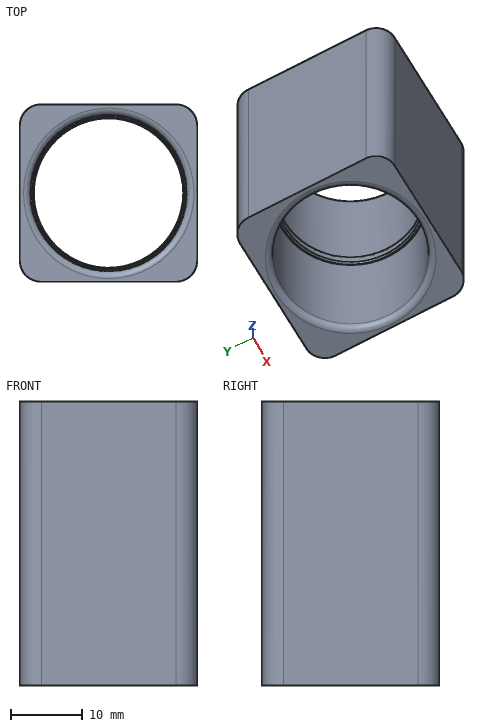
import cadquery as cq

height = 40.0
side = 25.0
corner_radius = 3.0
bore_diameter = 22.0
mouth_radius = 1.0

ring_inner_diameter = 21.0
ring_height = 2.0


def make_housing():
    """Square tube with rounded corners and a round bore with rounded mouths."""
    block = cq.Workplane("XY").rect(side, side).extrude(height).edges("|Z").fillet(corner_radius)
    bored = block.faces(">Z").workplane().hole(bore_diameter)
    return bored.faces("<Z or >Z").edges(cq.selectors.RadiusNthSelector(-1)).fillet(mouth_radius)


def make_ring():
    """Ring with a flat inner and outer wall that rises to a sharp crest at each end."""
    outer_radius = bore_diameter / 2
    inner_radius = ring_inner_diameter / 2
    crest_radius = (outer_radius + inner_radius) / 2
    crest_rise = crest_radius - inner_radius
    low = (height - ring_height) / 2
    high = low + ring_height
    outline = [
        (outer_radius, low + crest_rise),
        (outer_radius, high - crest_rise),
        (crest_radius, high),
        (inner_radius, high - crest_rise),
        (inner_radius, low + crest_rise),
        (crest_radius, low),
    ]
    section = cq.Workplane("XZ").polyline(outline).close()
    return section.revolve(360, (0, 0), (0, 1))


housing = make_housing()
ring = make_ring()

result = cq.Compound.makeCompound([housing.val(), ring.val()])